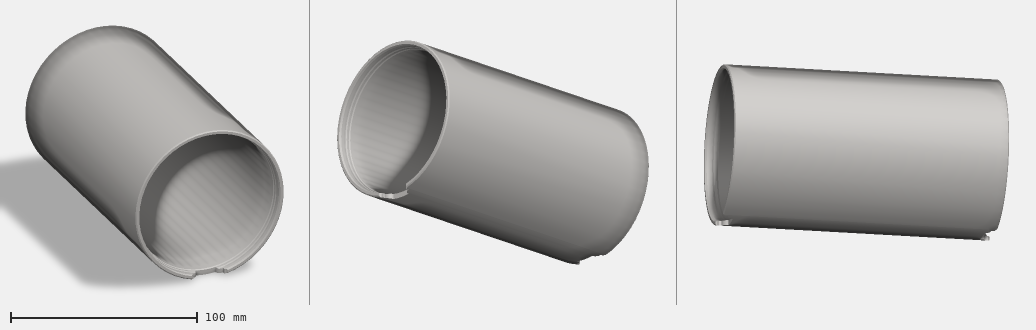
import cadquery as cq

length = 150.0
outer_diameter = 86.5
bore_diameter = 80.1
outer_chamfer = 0.6

recess_diameter = 81.6
recess_depth = 4.2
step_diameter = 80.8
step_land = 1.5
step_bevel = 0.8
mouth_chamfer_length = 1.2
mouth_chamfer_height = 0.5

notch_width = 18.0
notch_depth = 6.3
notch_mouth_radius = 1.4
notch_floor_radius = 3.2

outer_radius = outer_diameter / 2
bore_radius = bore_diameter / 2
recess_radius = recess_diameter / 2
step_radius = step_diameter / 2
half_length = length / 2


def make_tube():
    """Revolve the wall section, including the end chamfers and recesses."""
    mouth_radius = recess_radius + mouth_chamfer_height
    mouth_x = half_length - mouth_chamfer_length
    recess_x = half_length - recess_depth
    land_outer_x = recess_x - step_bevel
    land_inner_x = land_outer_x - step_land
    bore_x = land_inner_x - step_bevel
    right_side = [
        (bore_x, bore_radius),
        (land_inner_x, step_radius),
        (land_outer_x, step_radius),
        (recess_x, recess_radius),
        (mouth_x, recess_radius),
        (half_length, mouth_radius),
        (half_length, outer_radius - outer_chamfer),
        (half_length - outer_chamfer, outer_radius),
    ]
    left_side = [(-x, radius) for x, radius in reversed(right_side)]
    section = cq.Workplane("XY").polyline(right_side + left_side).close()
    return section.revolve(360, (0, 0, 0), (1, 0, 0))


def make_notch(end):
    """Cutter for the notch at one end (-1 or +1), rounded at its mouth and floor corners."""
    half_width = notch_width / 2
    end_x = end * half_length
    mouth_tangent_x = end * (half_length - notch_mouth_radius)
    floor_x = end * (half_length - notch_depth)
    floor_tangent_x = floor_x + end * notch_floor_radius
    mouth_half_width = half_width + notch_mouth_radius
    floor_half_width = half_width - notch_floor_radius
    return (
        cq.Workplane("XY")
        .moveTo(end_x, -mouth_half_width)
        .radiusArc((mouth_tangent_x, -half_width), end * notch_mouth_radius)
        .lineTo(floor_tangent_x, -half_width)
        .radiusArc((floor_x, -floor_half_width), -end * notch_floor_radius)
        .lineTo(floor_x, floor_half_width)
        .radiusArc((floor_tangent_x, half_width), -end * notch_floor_radius)
        .lineTo(mouth_tangent_x, half_width)
        .radiusArc((end_x, mouth_half_width), end * notch_mouth_radius)
        .close()
        .extrude(-outer_diameter)
    )


result = make_tube()
for end in (-1, 1):
    result = result.cut(make_notch(end))